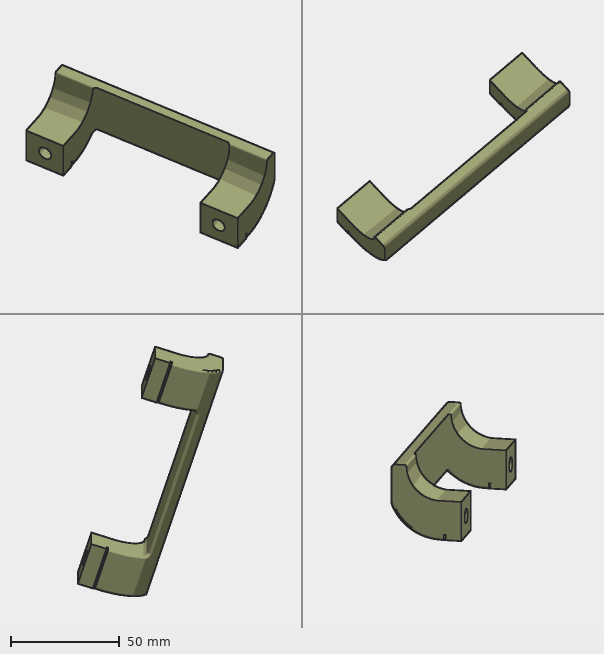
import cadquery as cq
import math

length = 114.0
depth = 33.0
top_z = 34.8

arm_width = 20.1
arm_height = 18.7
tip_thickness = 7.2
inner_start = 11.6
inner_end_drop = 2.0
inner_radius = 16.0
outer_radius = 25.1
ledge_drop = 0.2
back_top_round = 2.0
front_top_round = 1.1

groove_start = 7.4
groove_width = 0.8
groove_depth = 2.5

bar_thickness = 6.2
corner_round = 2.0
edge_round = 1.1

hole_inset = 10.3
hole_diameter = 6.6
hole_depth = 11.4

bar_front = depth - bar_thickness
groove_end = groove_start + groove_width
tip_front = depth - tip_thickness
inner_end_z = top_z - inner_end_drop
outer_center_y = 9.8
outer_center_z = outer_radius - ledge_drop


def point_on_arc(center_y, center_z, radius, angle):
    return center_y + radius * math.cos(angle), center_z + radius * math.sin(angle)


def concave_arc_middle():
    """Middle of the concave arc, offset from its chord toward the convex underside."""
    chord_y = tip_front - inner_start
    chord_z = inner_end_z - arm_height
    chord = math.hypot(chord_y, chord_z)
    bulge = inner_radius - math.sqrt(inner_radius**2 - (chord / 2) ** 2)
    middle_y = (tip_front + inner_start) / 2 + bulge * chord_z / chord
    middle_z = (inner_end_z + arm_height) / 2 - bulge * chord_y / chord
    return middle_y, middle_z


def make_profile_body():
    """Curved side profile extruded over the full length."""
    back_angle = -math.acos((depth - outer_center_y) / outer_radius)
    middle_angle = (back_angle - math.pi / 2) / 2
    outer_middle = point_on_arc(outer_center_y, outer_center_z, outer_radius, middle_angle)
    outer_end = point_on_arc(outer_center_y, outer_center_z, outer_radius, back_angle)
    inner_middle = concave_arc_middle()
    profile = (
        cq.Workplane("YZ", origin=(-length / 2, 0, 0))
        .lineTo(groove_start, 0)
        .lineTo(groove_start, groove_depth)
        .lineTo(groove_end, groove_depth)
        .lineTo(groove_end, -ledge_drop)
        .lineTo(outer_center_y, -ledge_drop)
        .threePointArc(outer_middle, outer_end)
        .lineTo(depth, top_z)
        .lineTo(tip_front, top_z)
        .lineTo(tip_front, inner_end_z)
        .threePointArc(inner_middle, (inner_start, arm_height))
        .lineTo(0, arm_height)
        .close()
    )
    body = profile.extrude(length)
    body = body.edges("|X and >Y and >Z").fillet(back_top_round)
    front_top_edge = cq.selectors.NearestToPointSelector((0, tip_front, top_z))
    return body.edges(front_top_edge).fillet(front_top_round)


def make_opening():
    """Space between the arms, with rounded corners against the grip bar."""
    return (
        cq.Workplane("XY", origin=(0, 0, -ledge_drop))
        .rect(length - 2 * arm_width, 2 * bar_front)
        .extrude(top_z + ledge_drop)
        .edges("|Z and >Y")
        .fillet(corner_round)
    )


def round_underside_edges(body):
    """Round the outer ends and the U-shaped inner rim of the curved underside."""
    underside_point = (0, *point_on_arc(outer_center_y, outer_center_z, outer_radius, -math.pi / 4))
    underside = body.faces(cq.selectors.NearestToPointSelector(underside_point))
    ledges = body.faces("<Z")
    bar_edge = underside.edges(cq.selectors.NearestToPointSelector((0, bar_front, outer_center_z / 3)))
    rim = underside.edges("not |X").add(ledges.edges("not |X")).add(bar_edge)
    return body.newObject(rim.vals()).fillet(edge_round)


def make_holes():
    hole_x = length / 2 - hole_inset
    return (
        cq.Workplane("XZ", origin=(0, 0, arm_height / 2))
        .pushPoints([(-hole_x, 0), (hole_x, 0)])
        .circle(hole_diameter / 2)
        .extrude(-hole_depth)
    )


body = make_profile_body().cut(make_opening())
body = round_underside_edges(body)
result = body.cut(make_holes())